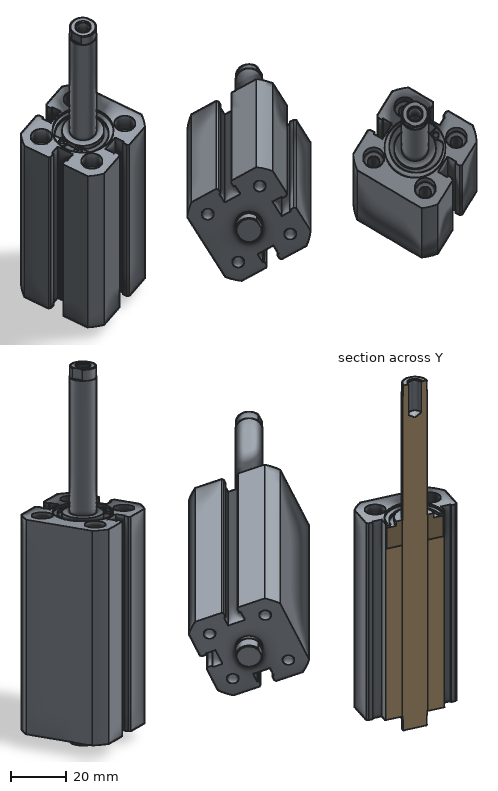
import cadquery as cq
import math

BODY_WIDTH = 36.0
BODY_HEIGHT = 82.1
CORNER_RADIUS = 22.6
TOTAL_LENGTH = 144.0
STUB_LENGTH = 5.9

HOLE_OFFSET = 11.0
HOLE_DIAMETER = 4.3
COUNTERBORE_DIAMETER = 7.6
COUNTERBORE_DEPTH = 7.2

SLOT_MOUTH_WIDTH = 5.3
SLOT_INNER_WIDTH = 6.6
SLOT_FLARE_WIDTH = 0.6
SLOT_FLARE_DEPTH = 0.7
SLOT_LIP_DEPTH = 2.5
SLOT_DEPTH = 6.2
SLOT_ANGLES = (-90, 0, 90)

ROD_DIAMETER = 10.0
ROD_RADIUS = ROD_DIAMETER / 2
NOSE_DIAMETER = 9.6
NOSE_LENGTH = 4.5
NOSE_CHAMFER = 0.3
FLATS_WIDTH = 8.8
FLATS_LENGTH = 4.2
THREAD_RADIUS = 2.5
THREAD_DEPTH = 13.0
DRILL_TIP_ANGLE = 118.0
THREAD_CHAMFER = 0.5

BORE_RADIUS = 11.1
BOSS_RADIUS = 7.6
RING_RECESS = 0.9
RING_THICKNESS = 1.0
FLANGE_THICKNESS = 8.6
RING_OPENING_RADIUS = 9.8
RING_OPENING_SHIFT = 0.9
EAR_EDGE = 7.2
RING_GAP_ANGLE = 27.0
EAR_RADIUS = 1.9
EAR_HOLE_RADIUS = 1.08
EAR_HOLE_X = 3.9
EAR_HOLE_Y = 8.2

rod_bottom = -STUB_LENGTH
rod_top = rod_bottom + TOTAL_LENGTH
ring_top = BODY_HEIGHT - RING_RECESS
ring_bottom = ring_top - RING_THICKNESS
flange_bottom = ring_bottom - FLANGE_THICKNESS


def cylinder(radius, bottom, top):
    return cq.Workplane("XY").workplane(offset=bottom).circle(radius).extrude(top - bottom)


def sensor_slot(angle):
    """Undercut slot along Z with a flared mouth, drawn on the -Y face and turned about the Z axis."""
    face = -BODY_WIDTH / 2
    mouth_half = SLOT_MOUTH_WIDTH / 2
    inner_half = SLOT_INNER_WIDTH / 2
    right_side = [
        (mouth_half + SLOT_FLARE_WIDTH, face),
        (mouth_half, face + SLOT_FLARE_DEPTH),
        (mouth_half, face + SLOT_LIP_DEPTH),
        (inner_half, face + SLOT_LIP_DEPTH),
        (inner_half, face + SLOT_DEPTH),
    ]
    left_side = [(-x, y) for x, y in reversed(right_side)]
    slot = cq.Workplane("XY").polyline(right_side + left_side).close().extrude(BODY_HEIGHT)
    return slot.rotate((0, 0, 0), (0, 0, 1), angle)


def make_housing():
    """Square body with round-cut corners, mounting holes, sensor slots and the bores for rod and collar."""
    housing = (
        cq.Workplane("XY")
        .rect(BODY_WIDTH, BODY_WIDTH)
        .extrude(BODY_HEIGHT)
        .intersect(cylinder(CORNER_RADIUS, 0, BODY_HEIGHT))
        .faces(">Z")
        .workplane()
        .rect(2 * HOLE_OFFSET, 2 * HOLE_OFFSET, forConstruction=True)
        .vertices()
        .cboreHole(HOLE_DIAMETER, COUNTERBORE_DIAMETER, COUNTERBORE_DEPTH)
    )
    for angle in SLOT_ANGLES:
        housing = housing.cut(sensor_slot(angle))
    housing = housing.cut(cylinder(ROD_RADIUS, 0, BODY_HEIGHT))
    return housing.cut(cylinder(BORE_RADIUS, flange_bottom, BODY_HEIGHT))


def make_collar():
    """Rod guide: a flange under the retaining ring and a boss flush with the housing top."""
    flange = cylinder(BORE_RADIUS, flange_bottom, ring_bottom)
    boss = cylinder(BOSS_RADIUS, ring_bottom, BODY_HEIGHT)
    return flange.union(boss).cut(cylinder(ROD_RADIUS, flange_bottom, BODY_HEIGHT))


def ring_opening():
    """Eccentric circle cut off straight along the inner edge of the ears."""
    opening = cylinder(RING_OPENING_RADIUS, ring_bottom, ring_top).translate((0, -RING_OPENING_SHIFT, 0))
    above_ears = (
        cq.Workplane("XY")
        .workplane(offset=ring_bottom)
        .center(0, BORE_RADIUS - EAR_EDGE)
        .rect(2 * BORE_RADIUS, 2 * BORE_RADIUS)
        .extrude(RING_THICKNESS)
    )
    return opening.intersect(above_ears)


def ring_gap():
    """Wedge between the ears, with radial sides."""
    half_width = BORE_RADIUS * math.tan(math.radians(RING_GAP_ANGLE / 2))
    return (
        cq.Workplane("XY")
        .workplane(offset=ring_bottom)
        .polyline([(0, 0), (-half_width, -BORE_RADIUS), (half_width, -BORE_RADIUS)])
        .close()
        .extrude(RING_THICKNESS)
    )


def ear_cylinder(side, radius):
    return cylinder(radius, ring_bottom, ring_top).translate((side * EAR_HOLE_X, -EAR_HOLE_Y, 0))


def make_retaining_ring():
    """Open ring with two round ears, each with a plier hole, that fit around the collar boss."""
    ring = cylinder(BORE_RADIUS, ring_bottom, ring_top).cut(ring_opening())
    for side in (-1, 1):
        ring = ring.union(ear_cylinder(side, EAR_RADIUS))
        ring = ring.cut(ear_cylinder(side, EAR_HOLE_RADIUS))
    return ring.cut(ring_gap()).cut(cylinder(BOSS_RADIUS, ring_bottom, ring_top))


def flat_cut(side, bottom):
    """Block that leaves a wrench flat on the +Y or -Y side of a rod nose."""
    return (
        cq.Workplane("XY")
        .workplane(offset=bottom)
        .center(0, side * (FLATS_WIDTH + ROD_DIAMETER) / 2)
        .rect(ROD_DIAMETER, ROD_DIAMETER)
        .extrude(FLATS_LENGTH)
    )


def threaded_hole():
    """Blind hole in the top nose, with a chamfered mouth and a conical drill tip."""
    tip = THREAD_RADIUS / math.tan(math.radians(DRILL_TIP_ANGLE / 2))
    bottom = rod_top - THREAD_DEPTH
    return (
        cq.Workplane("XZ")
        .moveTo(0, rod_top)
        .lineTo(THREAD_RADIUS + THREAD_CHAMFER, rod_top)
        .lineTo(THREAD_RADIUS, rod_top - THREAD_CHAMFER)
        .lineTo(THREAD_RADIUS, bottom)
        .lineTo(0, bottom - tip)
        .close()
        .revolve(360, (0, 0, 0), (0, 1, 0))
    )


def make_rod():
    core = cylinder(NOSE_DIAMETER / 2, rod_bottom, rod_top).faces("<Z or >Z").chamfer(NOSE_CHAMFER)
    rod = core.union(cylinder(ROD_RADIUS, rod_bottom + NOSE_LENGTH, rod_top - NOSE_LENGTH))
    for side in (-1, 1):
        for flat_bottom in (rod_bottom, rod_top - FLATS_LENGTH):
            rod = rod.cut(flat_cut(side, flat_bottom))
    return rod.cut(threaded_hole())


housing = make_housing()
collar = make_collar()
retaining_ring = make_retaining_ring()
rod = make_rod()

result = cq.Compound.makeCompound([housing.val(), collar.val(), retaining_ring.val(), rod.val()])